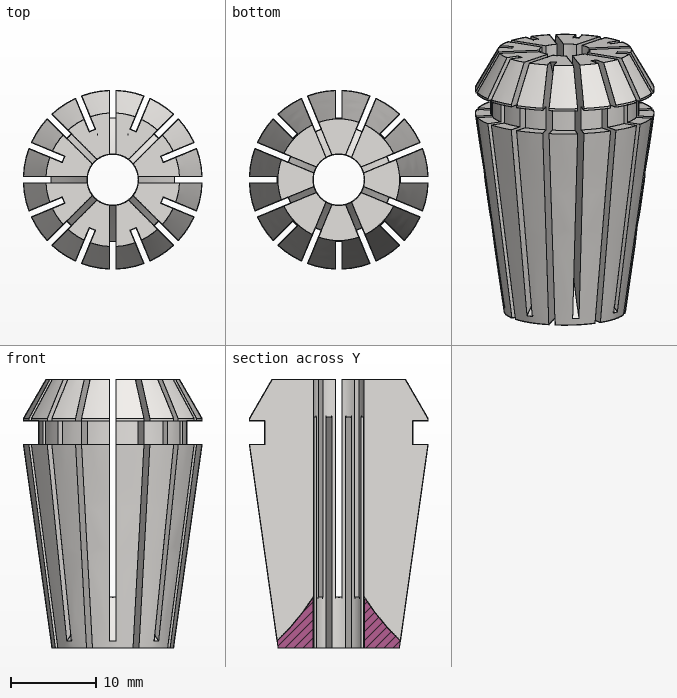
import cadquery as cq
import math


total_height = 31.5
outer_radius = 10.5
bore_radius = 3.0
body_taper = 8.0
nose_taper = 30.0
body_height = 23.88
groove_height = 2.77
groove_radius = 8.7
rim_height = 0.25

groove_top = body_height + groove_height
rim_top = groove_top + rim_height
nose_height = total_height - rim_top
bottom_radius = outer_radius - body_height * math.tan(math.radians(body_taper))
top_radius = outer_radius - nose_height * math.tan(math.radians(nose_taper))

slits_per_end = 8
slit_pitch = 360.0 / slits_per_end
slit_width = 0.75
blade_radius = 28.35

top_slit_low = 0.82
top_slit_bore = 6.0
top_slit_outer_radius = bottom_radius + top_slit_low * math.tan(math.radians(body_taper))

bottom_slit_outer_radius = 6.27
bottom_slit_bore = 27.1


def turned_body():
    """Revolve the outer profile together with the bore."""
    profile = [
        (bore_radius, 0),
        (bottom_radius, 0),
        (outer_radius, body_height),
        (groove_radius, body_height),
        (groove_radius, groove_top),
        (outer_radius, groove_top),
        (outer_radius, rim_top),
        (top_radius, total_height),
        (bore_radius, total_height),
    ]
    return cq.Workplane("XZ").polyline(profile).close().revolve(360, (0, 0), (0, 1))


def saw_slit(outer_end_radius, outer_end_height, bore_height):
    """Blade disc in the XZ plane whose edge joins an outer point to the bore.

    The disc lies on the +X side of that edge, above it when the edge climbs
    toward the bore and below it when the edge descends.
    """
    run = outer_end_radius - bore_radius
    rise = bore_height - outer_end_height
    chord = math.hypot(run, rise)
    reach = math.sqrt(blade_radius**2 - (chord / 2) ** 2)
    side = math.copysign(1, rise)
    center_x = (outer_end_radius + bore_radius) / 2 + side * reach * rise / chord
    center_z = (outer_end_height + bore_height) / 2 + side * reach * run / chord
    return (
        cq.Workplane("XZ")
        .center(center_x, center_z)
        .circle(blade_radius)
        .extrude(slit_width / 2, both=True)
    )


def cut_around(body, cutter, first_angle):
    """Cut copies of the cutter at equal angles around the axis."""
    for index in range(slits_per_end):
        angle = first_angle + index * slit_pitch
        body = body.cut(cutter.rotate((0, 0, 0), (0, 0, 1), angle))
    return body


top_slit = saw_slit(top_slit_outer_radius, top_slit_low, top_slit_bore)
bottom_slit = saw_slit(bottom_slit_outer_radius, total_height, bottom_slit_bore)

collet = cut_around(turned_body(), top_slit, 0)
result = cut_around(collet, bottom_slit, slit_pitch / 2)